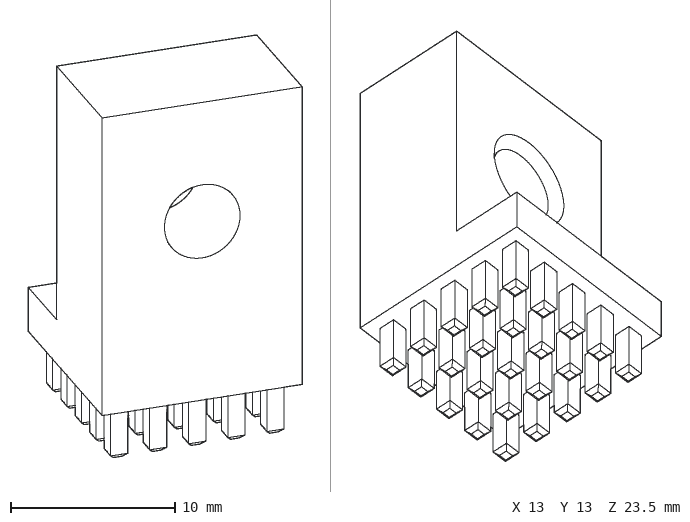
import cadquery as cq

side = 13.0
total_height = 23.5
pin_length = 3.5
base_height = 2.95
step_depth = 4.98
block_height = total_height - pin_length

hole_diameter = 4.9
countersink_diameter = 6.25
hole_height = 12.0

pins_per_side = 5
pin_pitch = 2.54
pin_width = 1.13
pin_tip_chamfer = 0.28


def l_block():
    """L-shaped body: a low step at -X and a tall block at +X, resting on Z = 0."""
    base = cq.Workplane("XY").box(side, side, base_height, centered=(True, True, False))
    tower = (
        cq.Workplane("XY")
        .center(step_depth / 2, 0)
        .box(side - step_depth, side, block_height, centered=(True, True, False))
    )
    return base.union(tower)


def mounting_hole():
    """Cutter for the through hole and its 45 degree countersink."""
    step_x = step_depth - side / 2
    countersink_depth = (countersink_diameter - hole_diameter) / 2
    face = cq.Workplane("YZ", origin=(step_x, 0, hole_height))
    bore = face.circle(hole_diameter / 2).extrude(side - step_depth)
    countersink = (
        face.circle(countersink_diameter / 2)
        .workplane(offset=countersink_depth)
        .circle(hole_diameter / 2)
        .loft()
    )
    return bore.union(countersink)


def pins():
    """Square grid of square pins below the base, with chamfered tips."""
    return (
        cq.Workplane("XY")
        .rarray(pin_pitch, pin_pitch, pins_per_side, pins_per_side)
        .rect(pin_width, pin_width)
        .extrude(-pin_length)
        .faces("<Z")
        .chamfer(pin_tip_chamfer)
    )


result = l_block().cut(mounting_hole()).union(pins())